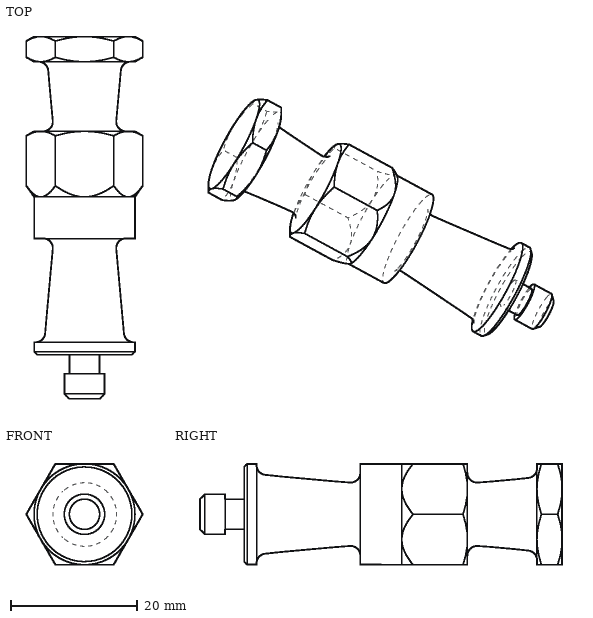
import cadquery as cq
import math


across_flats = 16.0
flat_radius = across_flats / 2
corner_diameter = across_flats / math.cos(math.radians(30))
corner_radius = corner_diameter / 2
nut_chamfer_angle = 30.0
steep_chamfer_angle = 55.0

head_thickness = 4.0
nut_at = 15.0
collar_at = 25.4
collar_end_at = 32.0
flange_at = 48.4
flange_thickness = 2.0
neck_length = 3.0
tip_length = 4.0
flange_end_at = flange_at + flange_thickness
tip_at = flange_end_at + neck_length
tip_end_at = tip_at + tip_length

taper_angle = 5.2
waist_radius = 5.05
fillet_radius = 1.5
waist_land = 0.15
neck_radius = 2.4
tip_radius = 3.2
flange_chamfer = 0.5
tip_chamfer = tip_radius - neck_radius


def revolve_profile(outline):
    """Revolve a closed (radius, y) outline about the Y axis."""
    return outline.close().revolve(360, (0, 0, 0), (0, 1, 0))


def cylinder(start_at, end_at, radius):
    """Cylinder on the Y axis between two stations."""
    start_face = cq.Workplane("XZ", origin=(0, -start_at, 0))
    return start_face.circle(radius).extrude(end_at - start_at)


def chamfered_hexagon(start_at, end_at, start_angle, end_angle):
    """Hexagonal prism whose corners are turned down to the flats at both end faces."""
    corner_height = corner_radius - flat_radius
    start_drop = corner_height * math.tan(math.radians(start_angle))
    end_drop = corner_height * math.tan(math.radians(end_angle))
    start_face = cq.Workplane("XZ", origin=(0, -start_at, 0))
    prism = start_face.polygon(6, corner_diameter).extrude(end_at - start_at)
    envelope = revolve_profile(
        cq.Workplane("XY")
        .moveTo(0, -start_at)
        .lineTo(flat_radius, -start_at)
        .lineTo(corner_radius, -start_at - start_drop)
        .lineTo(corner_radius, -end_at + end_drop)
        .lineTo(flat_radius, -end_at)
        .lineTo(0, -end_at)
    )
    return prism.intersect(envelope)


def shoulder_fillet(shoulder_at, away, wall_radius, lean):
    """Foot, middle and wall end of the fillet between a shoulder face and a shank wall.

    away is +1 or -1, the direction along the stations from the shoulder to the shank.
    wall_radius gives the shank radius at a station. lean is the wall's angle to the axis in
    radians, positive where the wall widens toward the shoulder.
    """
    center_at = shoulder_at + away * fillet_radius
    center_radius = wall_radius(center_at) + fillet_radius / math.cos(lean)

    def arc_point(angle):
        at = center_at - away * fillet_radius * math.sin(angle)
        return (center_radius - fillet_radius * math.cos(angle), -at)

    face_angle = math.radians(90)
    return arc_point(face_angle), arc_point((face_angle + lean) / 2), arc_point(lean)


def tapered_shank(narrow_at, wide_at, has_land):
    """Shank widening from one shoulder to the other, with a fillet at each shoulder.

    With a land, the waist stays straight from the narrow fillet to the start of the taper.
    """
    toward_wide = math.copysign(1, wide_at - narrow_at)
    taper = math.radians(taper_angle)
    waist_at = narrow_at + toward_wide * (fillet_radius + waist_land)

    def cone_radius(at):
        return waist_radius + toward_wide * (at - waist_at) * math.tan(taper)

    def land_radius(_):
        return waist_radius

    if has_land:
        narrow_fillet = shoulder_fillet(narrow_at, toward_wide, land_radius, 0)
    else:
        narrow_fillet = shoulder_fillet(narrow_at, toward_wide, cone_radius, -taper)
    narrow_foot, narrow_middle, narrow_end = narrow_fillet
    wide_foot, wide_middle, wide_end = shoulder_fillet(wide_at, -toward_wide, cone_radius, taper)

    outline = cq.Workplane("XY").moveTo(0, -narrow_at).lineTo(*narrow_foot)
    outline = outline.threePointArc(narrow_middle, narrow_end)
    if has_land:
        outline = outline.lineTo(waist_radius, -waist_at)
    outline = outline.lineTo(*wide_end).threePointArc(wide_middle, wide_foot)
    return revolve_profile(outline.lineTo(0, -wide_at))


head = chamfered_hexagon(0, head_thickness, nut_chamfer_angle, nut_chamfer_angle)
head_shank = tapered_shank(nut_at, head_thickness, has_land=True)
nut = chamfered_hexagon(nut_at, collar_at, nut_chamfer_angle, steep_chamfer_angle)
collar = cylinder(collar_at, collar_end_at, flat_radius)
flange_shank = tapered_shank(collar_end_at, flange_at, has_land=False)
flange = cylinder(flange_at, flange_end_at, flat_radius).faces("<Y").chamfer(flange_chamfer)
neck = cylinder(flange_end_at, tip_at, neck_radius)
tip = cylinder(tip_at, tip_end_at, tip_radius).faces("<Y").chamfer(tip_chamfer)

result = head
for section in (head_shank, nut, collar, flange_shank, flange, neck, tip):
    result = result.union(section)